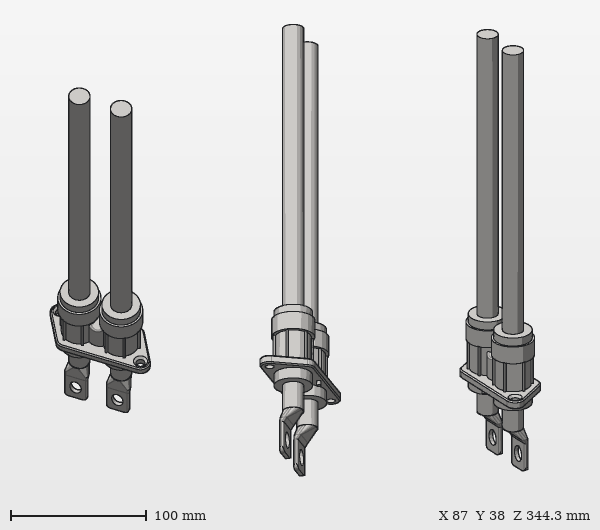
import cadquery as cq
import math

total_height = 344.3
cable_offset = 16.5
cable_diameter = 16.0

lug_bend_z = 23.5
lug_shoulder_z = 27.0
cable_bottom_z = 34.8
lower_collar_bottom_z = 55.5
plate_bottom_z = 64.0
plate_top_z = 70.5
web_saddle_z = 88.0
web_top_z = 91.5
band_bottom_z = 94.7
band_top_z = 108.5
upper_collar_top_z = 115.0

collar_diameter = 28.5
band_diameter = 32.0
body_diameter = 27.0
rib_width = 1.7
rib_reach = 15.0
rib_edge_fillet = 0.7
rib_angle_step = 60

plate_length = 87.0
plate_width = 38.0
plate_corner_radius = 7.2
plate_side_angle = 60
plate_edge_chamfer = 1.0
screw_hole_diameter = 6.5
screw_hole_rim_diameter = 10.5
screw_hole_rim_angle = 90

web_diameter = 19.5
web_saddle_radius = 7.0
web_rim_fillet = 1.0
key_pin_diameter = 3.5
key_pin_y = 14.5
key_pin_bottom_z = 60.5

lug_width = 18.2
lug_thickness = 3.5
lug_corner_radius = 4.0
lug_edge_fillet = 1.5
lug_hole_width = 9.0
lug_hole_height = 12.5
lug_hole_z = 12.0
shoulder_thickness = 5.5
neck_width = 14.5
neck_corner_radius = 6.2
lug_front_y = -cable_diameter / 2

neck_lean = (cable_diameter - neck_width) / 2 / (cable_bottom_z - lug_bend_z)
shoulder_front_y = lug_front_y + neck_lean * (lug_shoulder_z - lug_bend_z)


def cylinder(diameter, bottom_z, top_z, x=0.0, y=0.0):
    """Upright cylinder between two heights."""
    base = cq.Workplane("XY", origin=(x, y, bottom_z))
    return base.circle(diameter / 2).extrude(top_z - bottom_z)


def make_plate():
    """Flange plate with edge chamfers and countersunk screw holes in its two sharp corners."""
    corner_y = plate_width / 2 - plate_corner_radius
    hole_x = plate_length / 2 - plate_corner_radius
    short_x = hole_x - 2 * corner_y / math.tan(math.radians(plate_side_angle))
    core = [(-hole_x, corner_y), (short_x, corner_y), (hole_x, -corner_y), (-short_x, -corner_y)]
    plate = (
        cq.Workplane("XY", origin=(0, 0, plate_bottom_z))
        .polyline(core)
        .close()
        .offset2D(plate_corner_radius)
        .extrude(plate_top_z - plate_bottom_z)
        .faces("<Z or >Z")
        .edges()
        .chamfer(plate_edge_chamfer)
    )
    return (
        plate.faces(">Z")
        .workplane(origin=(0, 0, plate_top_z))
        .pushPoints([(-hole_x, corner_y), (hole_x, -corner_y)])
        .cskHole(screw_hole_diameter, screw_hole_rim_diameter, screw_hole_rim_angle)
    )


def make_ribs():
    """Ribs spaced round a sleeve body, leaving out the one at angle 0, which faces the web."""
    ribs = cq.Workplane("XY")
    for angle in range(rib_angle_step, 360, rib_angle_step):
        rib = (
            cq.Workplane("XY", origin=(0, 0, plate_top_z))
            .rect(rib_reach, rib_width)
            .extrude(band_bottom_z - plate_top_z)
            .edges("|Z and >X")
            .fillet(rib_edge_fillet)
            .translate((rib_reach / 2, 0, 0))
            .rotate((0, 0, 0), (0, 0, 1), angle)
        )
        ribs = ribs.union(rib)
    return ribs


def lug_section(thickness, front_y, z):
    """Full-width lug section at one height."""
    section = cq.Sketch().rect(lug_width, thickness).vertices().fillet(lug_edge_fillet)
    return section.moved(cq.Location(cq.Vector(0, front_y + thickness / 2, z)))


def make_lug():
    """Flat tongue with a neck that flattens and widens from the cable end down to it."""
    back_plane = cq.Workplane("XZ", origin=(0, lug_front_y + lug_thickness, 0))
    outline = (
        back_plane.center(0, lug_bend_z / 2)
        .rect(lug_width, lug_bend_z)
        .extrude(lug_thickness)
        .edges("|Y and <Z")
        .fillet(lug_corner_radius)
    )
    tip = lug_section(lug_thickness, lug_front_y, 0)
    strip = cq.Workplane("XY").placeSketch(tip).extrude(lug_bend_z)
    hole = (
        back_plane.center(0, lug_hole_z)
        .ellipse(lug_hole_width / 2, lug_hole_height / 2)
        .extrude(lug_thickness)
    )
    bend = lug_section(lug_thickness, lug_front_y, lug_bend_z)
    shoulder = lug_section(shoulder_thickness, shoulder_front_y, lug_shoulder_z)
    neck_top = cq.Sketch().rect(neck_width, neck_width).vertices().fillet(neck_corner_radius)
    neck_top = neck_top.moved(cq.Location(cq.Vector(0, 0, cable_bottom_z)))
    lower_neck = cq.Workplane("XY").placeSketch(bend, shoulder).loft(ruled=True)
    upper_neck = cq.Workplane("XY").placeSketch(shoulder, neck_top).loft(ruled=True)
    return strip.intersect(outline).cut(hole).union(lower_neck).union(upper_neck)


def make_cable():
    """One cable with its sleeve and lug, centred on the Z axis."""
    return (
        cylinder(cable_diameter, cable_bottom_z, total_height)
        .union(cylinder(collar_diameter, lower_collar_bottom_z, plate_bottom_z))
        .union(cylinder(body_diameter, plate_bottom_z, band_bottom_z))
        .union(cylinder(band_diameter, band_bottom_z, band_top_z))
        .union(cylinder(collar_diameter, band_top_z, upper_collar_top_z))
        .union(make_ribs())
        .union(make_lug())
    )


def make_web():
    """Upright round post; a cylinder along Y hollows out its top."""
    saddle_centre_z = web_saddle_z + web_saddle_radius
    saddle = (
        cq.Workplane("XZ", origin=(0, 0, saddle_centre_z))
        .circle(web_saddle_radius)
        .extrude(web_diameter / 2, both=True)
    )
    post = cylinder(web_diameter, plate_top_z, web_top_z)
    return post.cut(saddle).edges("<Y or >Y").fillet(web_rim_fillet)


result = make_plate().union(make_web())
result = result.union(cylinder(key_pin_diameter, key_pin_bottom_z, plate_bottom_z, y=key_pin_y))
left_cable = make_cable().translate((-cable_offset, 0, 0))
result = result.union(left_cable).union(left_cable.mirror("YZ"))